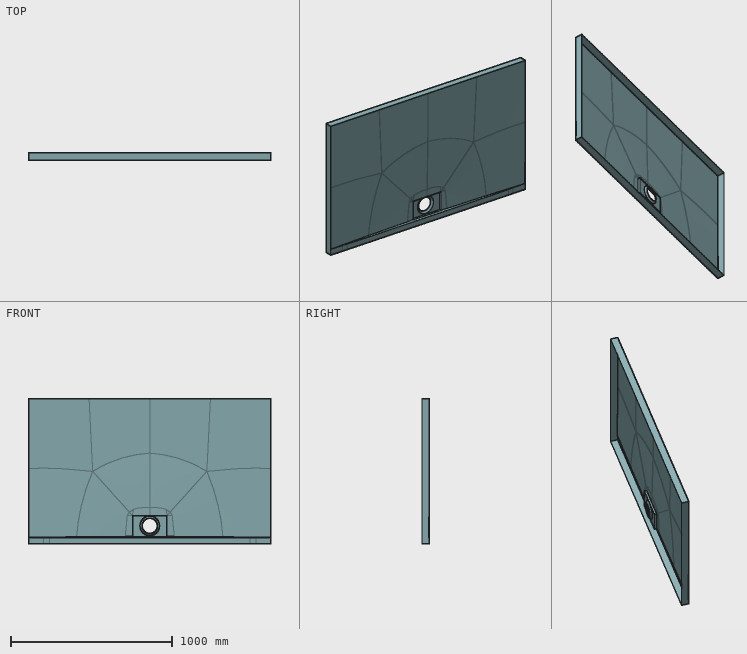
import cadquery as cq


WIDTH = 1500.0
DEPTH = 48.0
HEIGHT = 900.0
SHEET = 3.0
CORNER_RADIUS = 4.0
TOP_EDGE_RADIUS = 2.0

CLEARANCE = 20.0

RIM_LEVEL = DEPTH - SHEET
APEX_LEVEL = 44.0
KNEE_LEVEL = 42.0
FOOT_LEVEL = 38.0
COLLAR_LEVEL = 36.0
DECK_LEVEL = 34.5
FLOOR_LEVEL = 20.0
BOTTOM_CORNER_LEVEL = 41.5
BOSS_TIP_LEVEL = 9.0
LEDGE_END_LEVEL = RIM_LEVEL - 1.0

LEDGE_HEIGHT = 40.0
STEP_BASE = 37.5
STEP_SLOPE = 0.95
LEDGE_END = 94.0
LEDGE_RAMP_END = 130.0

SUMP_HALF_WIDTH = 108.0
SUMP_TOP = 177.0
SUMP_BOTTOM = 46.0
DRAIN_HEIGHT = 113.5
BOSS_BASE_RADIUS = 62.0
BOSS_TIP_RADIUS = 49.0
DRAIN_RADIUS = 45.0

HALF_WIDTH = WIDTH / 2

TOP_CENTRE = (0, RIM_LEVEL, HEIGHT)
TOP_BREAK = (375, RIM_LEVEL, HEIGHT)
TOP_CORNER = (HALF_WIDTH, RIM_LEVEL, HEIGHT)
SIDE_BREAK = (HALF_WIDTH, RIM_LEVEL, 469)
BOTTOM_CORNER = (HALF_WIDTH, BOTTOM_CORNER_LEVEL, STEP_BASE)
APEX = (0, APEX_LEVEL, 563)
KNEE = (353, KNEE_LEVEL, 450)
FOOT = (453, FOOT_LEVEL, STEP_BASE)
COLLAR_TOP = (0, COLLAR_LEVEL, 227)
COLLAR_TOP_END = (100, COLLAR_LEVEL, 216)
COLLAR_CORNER = (126, COLLAR_LEVEL, 199)
COLLAR_SIDE_END = (139, COLLAR_LEVEL, SUMP_TOP)
COLLAR_FOOT = (152, COLLAR_LEVEL, STEP_BASE)
SUMP_TOP_CENTRE = (0, DECK_LEVEL, SUMP_TOP)
SUMP_CORNER = (SUMP_HALF_WIDTH, DECK_LEVEL, SUMP_TOP)
SUMP_FOOT = (SUMP_HALF_WIDTH, DECK_LEVEL, STEP_BASE)
SUMP_FOOT_CENTRE = (0, DECK_LEVEL, STEP_BASE)

CROWN_MIDDLE = (170, 43.3, 533)
FLANK_MIDDLE = (420, 40.5, 250)
SIDE_CREASE_MIDDLE = (530, 43.5, 466)
COLLAR_TOP_MIDDLE = (50, COLLAR_LEVEL, 226)
COLLAR_SIDE_MIDDLE = (146, COLLAR_LEVEL, 120)


def line(start, end):
    return cq.Edge.makeLine(cq.Vector(*start), cq.Vector(*end))


def curve(*points):
    return cq.Edge.makeSpline([cq.Vector(*point) for point in points])


def column(face):
    """Extrude a facet of the underside through the top surface."""
    return cq.Workplane(cq.Solid.extrudeLinear(face, cq.Vector(0, DEPTH, 0)))


def ruled(first, second):
    """Column over the straight-line surface between two edges."""
    return column(cq.Face.makeRuledSurface(first, second))


def flat(*points):
    """Column over a plane polygon."""
    wire = cq.Wire.makePolygon([cq.Vector(*point) for point in points], close=True)
    return column(cq.Face.makeFromWires(wire))


def filled(*edges):
    """Column over a smooth surface stretched across a loop of edges."""
    return column(cq.Face.makeNSidedSurface(edges, []))


def dish_half():
    """Columns over the facets that fall from the rim to the sump on the +X half."""
    crown = curve(APEX, CROWN_MIDDLE, KNEE)
    flank = curve(KNEE, FLANK_MIDDLE, FOOT)
    side_crease = curve(KNEE, SIDE_CREASE_MIDDLE, SIDE_BREAK)
    collar_top = curve(COLLAR_TOP, COLLAR_TOP_MIDDLE, COLLAR_TOP_END)
    collar_side = curve(COLLAR_SIDE_END, COLLAR_SIDE_MIDDLE, COLLAR_FOOT)
    corner_top = line(COLLAR_TOP_END, COLLAR_CORNER)
    corner_side = line(COLLAR_CORNER, COLLAR_SIDE_END)
    diagonal = line(KNEE, COLLAR_CORNER)
    facets = [
        ruled(line(TOP_CENTRE, TOP_BREAK), crown),
        ruled(line(TOP_BREAK, TOP_CORNER), side_crease),
        filled(side_crease, line(SIDE_BREAK, BOTTOM_CORNER), line(BOTTOM_CORNER, FOOT), flank),
        filled(crown, diagonal, corner_top, collar_top, line(COLLAR_TOP, APEX)),
        filled(flank, line(FOOT, COLLAR_FOOT), collar_side, corner_side, diagonal),
        ruled(collar_top, line(SUMP_TOP_CENTRE, SUMP_CORNER)),
        flat(COLLAR_TOP_END, COLLAR_CORNER, SUMP_CORNER),
        flat(COLLAR_CORNER, COLLAR_SIDE_END, SUMP_CORNER),
        ruled(collar_side, line(SUMP_CORNER, SUMP_FOOT)),
        flat(SUMP_TOP_CENTRE, SUMP_CORNER, SUMP_FOOT, SUMP_FOOT_CENTRE),
    ]
    half = facets[0]
    for facet in facets[1:]:
        half = half.union(facet)
    return half


def block(x_half, y_start, z_start, z_end):
    """Block centred on X that reaches past the top surface."""
    length = DEPTH + CLEARANCE - y_start
    base = cq.Workplane("XY", origin=(0, y_start, z_start))
    return base.box(2 * x_half, length, z_end - z_start, centered=(True, False, False))


def outlet_cone(inset, shift):
    """Cone around the drain that narrows towards its tip."""
    tip = BOSS_TIP_LEVEL + shift
    length = FLOOR_LEVEL - BOSS_TIP_LEVEL
    return cq.Workplane(
        cq.Solid.makeCone(
            BOSS_TIP_RADIUS - inset,
            BOSS_BASE_RADIUS - inset,
            length,
            cq.Vector(0, tip, DRAIN_HEIGHT),
            cq.Vector(0, 1, 0),
        )
    )


def step_section(x, base_height, slope, shift):
    """Outline of the space above the step, in the plane at the given X."""
    base_level = RIM_LEVEL + shift
    points = [
        (DEPTH + CLEARANCE, base_height),
        (base_level, base_height),
        (0, base_height + base_level * slope),
        (0, HEIGHT),
        (DEPTH + CLEARANCE, HEIGHT),
    ]
    return cq.Wire.makePolygon([cq.Vector(x, y, z) for y, z in points], close=True)


def above_step(inset, shift):
    """Space above the step from ledge to dish, which is sloped in the middle and square at the ends."""
    sections = [
        step_section(-HALF_WIDTH, LEDGE_HEIGHT + inset, 0, shift),
        step_section(-FOOT[0], STEP_BASE + inset, STEP_SLOPE, shift),
        step_section(FOOT[0], STEP_BASE + inset, STEP_SLOPE, shift),
        step_section(HALF_WIDTH, LEDGE_HEIGHT + inset, 0, shift),
    ]
    return cq.Workplane(cq.Solid.makeLoft(sections, ruled=True))


def sheet_envelope(dish, inset, shift):
    """Everything above the underside; inset and shifted, everything above the top surface."""
    sump = block(
        SUMP_HALF_WIDTH - inset, FLOOR_LEVEL + shift, SUMP_BOTTOM + inset, SUMP_TOP - inset
    )
    trimmed = dish.translate((0, shift, 0)).intersect(above_step(inset, shift))
    return trimmed.union(sump).union(outlet_cone(inset, shift))


def ledge():
    """Plate along the bottom wall, slightly proud towards -Y at its ends."""
    outline = [
        (-HALF_WIDTH, DEPTH),
        (-HALF_WIDTH, LEDGE_END_LEVEL),
        (-HALF_WIDTH + LEDGE_END, LEDGE_END_LEVEL),
        (-HALF_WIDTH + LEDGE_RAMP_END, RIM_LEVEL),
        (HALF_WIDTH - LEDGE_RAMP_END, RIM_LEVEL),
        (HALF_WIDTH - LEDGE_END, LEDGE_END_LEVEL),
        (HALF_WIDTH, LEDGE_END_LEVEL),
        (HALF_WIDTH, DEPTH),
    ]
    return cq.Workplane("XY").polyline(outline).close().extrude(LEDGE_HEIGHT + SHEET)


def outer_block():
    return cq.Workplane("XY").box(WIDTH, DEPTH, HEIGHT, centered=(True, False, False))


def rim():
    """Four walls around the sheet."""
    opening = block(HALF_WIDTH - SHEET, -CLEARANCE, SHEET, HEIGHT - SHEET)
    return outer_block().cut(opening)


def rounded_envelope():
    """Outer block with its corners and the edges around the top surface rounded."""
    return outer_block().edges("|Y").fillet(CORNER_RADIUS).faces(">Y").edges().fillet(TOP_EDGE_RADIUS)


half_dish = dish_half()
dish = half_dish.union(half_dish.mirror("YZ"))
underside = sheet_envelope(dish, 0, 0).union(ledge())
top_space = sheet_envelope(dish, SHEET, SHEET)
drain = cq.Workplane("XZ", origin=(0, DEPTH, DRAIN_HEIGHT)).circle(DRAIN_RADIUS).extrude(DEPTH)
wall_middle = SHEET / 2
sheet_limits = block(HALF_WIDTH - wall_middle, 0, wall_middle, HEIGHT - wall_middle)
sheet = underside.cut(top_space).cut(drain).intersect(sheet_limits)
result = sheet.union(rim()).intersect(rounded_envelope())